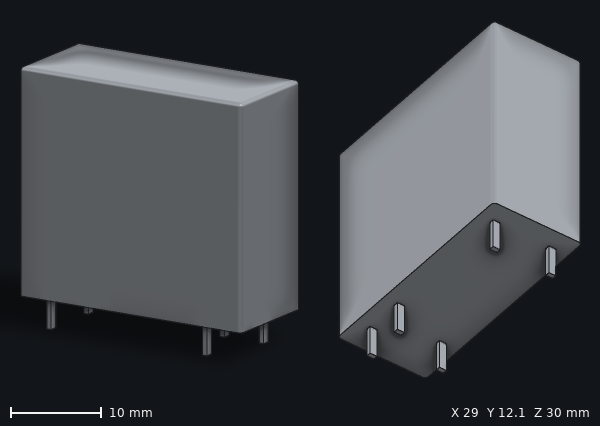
import cadquery as cq

housing_length = 29.0
housing_width = 12.1
housing_height = 26.2
total_height = 30.0
edge_radius = 0.5

pin_thickness = 0.6
pin_width = 0.95
pin_length = total_height - housing_height

row_spacing = 7.62
coil_pin_x = -11.73
coil_to_common = 20.3
contact_pitch = 2.55

front_row_y = -row_spacing / 2
back_row_y = row_spacing / 2
common_pin_x = coil_pin_x + coil_to_common

pin_positions = [
    (coil_pin_x, front_row_y),
    (coil_pin_x, back_row_y),
    (common_pin_x, front_row_y),
    (common_pin_x - contact_pitch, back_row_y),
    (common_pin_x + contact_pitch, back_row_y),
]


def make_housing():
    """Block with rounded upright and top edges and a sharp base."""
    block = cq.Workplane("XY").box(
        housing_length, housing_width, housing_height, centered=(True, True, False)
    )
    return block.edges("|Z or >Z").fillet(edge_radius)


def make_pin(x, y):
    """Rectangular pin whose top end touches the housing base."""
    return (
        cq.Workplane("XY")
        .center(x, y)
        .rect(pin_thickness, pin_width)
        .extrude(-pin_length)
    )


housing = make_housing()
pins = [make_pin(x, y) for x, y in pin_positions]

result = cq.Compound.makeCompound([housing.val(), *[pin.val() for pin in pins]])